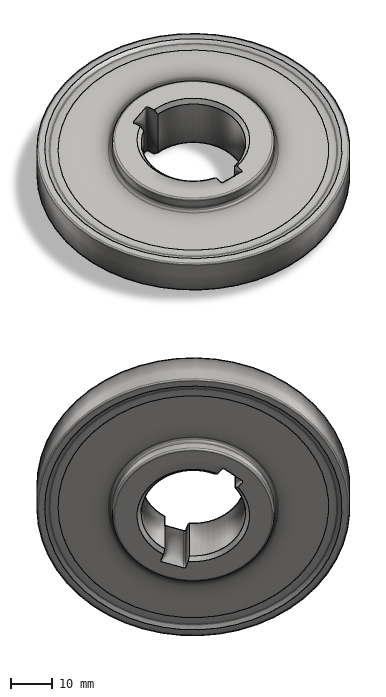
import cadquery as cq

hub_diameter = 39.4
hub_length = 15.88
hub_edge_fillet = 0.5
hub_root_fillet = 1.0

bore_diameter = 25.4
bore_chamfer = 1.0
keyway_width = 6.35
keyway_reach = 15.5
keyway_corner_radius = 0.4
keyway_angles = (0, 200)

web_diameter = 65.88
web_thickness = 8.45

ring_diameter = 76.24
ring_width = 9.53
ring_edge_fillet = 0.4
lip_inner_radius = 36.19
lip_foot_radius = 35.02
lip_foot_fillet = 0.45

mid_z = hub_length / 2
hub_radius = hub_diameter / 2
bore_radius = bore_diameter / 2
web_radius = web_diameter / 2
ring_radius = ring_diameter / 2
half_web = web_thickness / 2
RADIUS_TOLERANCE = 0.001


def mirrored_revolve(upper_points):
    """Revolve an outline about Z; its lower half mirrors the upper one."""
    lower_points = [(r, -z) for r, z in reversed(upper_points)]
    profile = cq.Workplane("XZ").polyline(upper_points + lower_points).close()
    return profile.revolve(360, (0, 0), (0, 1)).translate((0, 0, mid_z))


def circles_of_radius(body, radius):
    """Select all the circular edges that have the given radius."""
    return body.edges("%CIRCLE").filter(lambda edge: abs(edge.radius() - radius) < RADIUS_TOLERANCE)


def hub_end_edges(body):
    """Select the two outer edges at the ends of the hub."""
    return circles_of_radius(body, hub_radius).filter(
        lambda edge: abs(edge.Center().z - mid_z) > (half_web + mid_z) / 2
    )


def hub_root_edges(body):
    """Select the two inside corners between the hub and the web."""
    return circles_of_radius(body, hub_radius).filter(
        lambda edge: abs(edge.Center().z - mid_z) < half_web + RADIUS_TOLERANCE
    )


def cut_keyway(body, angle):
    """Cut one keyway through the hub, running from the axis out to its floor."""
    keyway = (
        cq.Workplane("XY")
        .rect(keyway_reach, keyway_width)
        .extrude(hub_length)
        .translate((keyway_reach / 2, 0, 0))
        .edges("|Z and >X")
        .fillet(keyway_corner_radius)
        .rotate((0, 0, 0), (0, 0, 1), angle)
    )
    return body.cut(keyway)


def make_hub():
    """Hub with a thin web around it, a chamfered bore and two keyways."""
    half_length = hub_length / 2
    body = mirrored_revolve([
        (bore_radius, half_length),
        (hub_radius, half_length),
        (hub_radius, half_web),
        (web_radius, half_web),
    ])
    body = hub_end_edges(body).fillet(hub_edge_fillet)
    body = hub_root_edges(body).fillet(hub_root_fillet)
    body = circles_of_radius(body, bore_radius).chamfer(bore_chamfer)
    for angle in keyway_angles:
        body = cut_keyway(body, angle)
    return body


def make_ring():
    """Ring around the web; each side slopes up from a land to a raised lip."""
    half_width = ring_width / 2
    body = mirrored_revolve([
        (web_radius, half_web),
        (lip_foot_radius, half_web),
        (lip_inner_radius, half_width),
        (ring_radius, half_width),
    ])
    body = circles_of_radius(body, lip_foot_radius).fillet(lip_foot_fillet)
    return circles_of_radius(body, ring_radius).fillet(ring_edge_fillet)


hub = make_hub()
ring = make_ring()
result = cq.Compound.makeCompound([hub.val(), ring.val()])